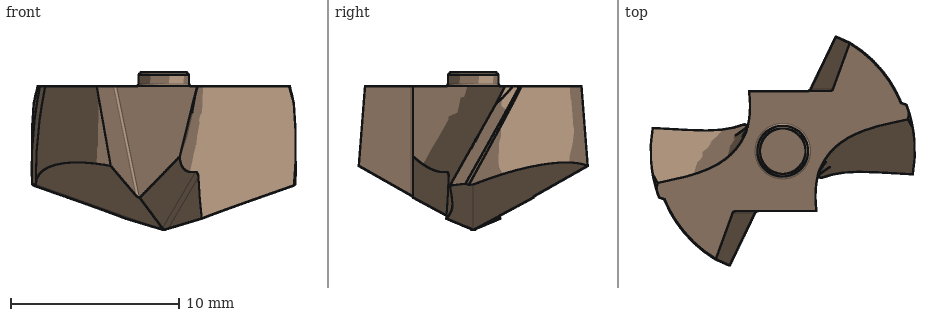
import cadquery as cq
import math

body_height = 8.54
total_height = 9.37
reach = 31.4

margin_radius = 7.85
relief_start_radius = 7.6
relief_middle_radius = 7.55
relief_end_radius = 7.41
twist_rate = 4.127
lip_angle = 14.2
margin_back_angle = 20.5
relief_start_angle = 22.2
flute_exit_angle = -70.0
flute_curve = [(5.05, 1.3), (3.14, 0.25), (2.23, -1.04), (1.96, -2.32), (2.01, -3.56)]

lip_rise = 0.356
heel_rise = 0.395
lip_relief = 0.08

notch_wall_y = -3.56
notch_corner_x = -2.94
notch_run_x = -6.5
notch_run_y = -17.8
notch_lean = 0.205
notch_fillet = 0.19

gash_rise_x = 1.03
gash_rise_y = 0.95
gash_wall_slope = 0.71
gash_fillet = 0.24

trim_lip_x = 7.44
trim_lip_y = 1.92
trim_lean_y = 0.11
trim_lean_z = 0.34

pin_radius = 1.5
pin_chamfer = 0.15
pin_base_fillet = 0.14


def polar(radius, angle):
    turn = math.radians(angle)
    return (radius * math.cos(turn), radius * math.sin(turn))


def opposite(point):
    return (-point[0], -point[1])


def half_space(normal, origin=(0, 0, 0)):
    """Large block on the side of a plane to which the normal points."""
    plane = cq.Plane(origin=origin, normal=normal)
    return cq.Workplane(plane).rect(2 * reach, 2 * reach).extrude(reach)


def cut_both_sides(solid, cutter):
    """Apply a cutter and its half-turn copy about the drill axis."""
    return solid.cut(cutter).cut(cutter.rotate((0, 0, 0), (0, 0, 1), 180))


def twisted_body():
    lip = polar(margin_radius, lip_angle)
    margin_middle = polar(margin_radius, (lip_angle + margin_back_angle) / 2)
    margin_back = polar(margin_radius, margin_back_angle)
    relief_start = polar(relief_start_radius, relief_start_angle)
    flute_exit = polar(relief_end_radius, flute_exit_angle)
    relief_end_angle = flute_exit_angle + 180
    relief_middle = polar(relief_middle_radius, (relief_start_angle + relief_end_angle) / 2)

    outline = cq.Workplane("XY").moveTo(*opposite(flute_exit))
    for place in (tuple, opposite):
        outline = (
            outline.threePointArc(place(relief_middle), place(relief_start))
            .lineTo(*place(margin_back))
            .threePointArc(place(margin_middle), place(lip))
            .spline([place(point) for point in flute_curve], includeCurrent=True)
            .lineTo(*place(flute_exit))
        )
    twist = twist_rate * body_height
    body = outline.close().twistExtrude(body_height, twist)
    return body.rotate((0, 0, 0), (0, 0, 1), -twist)


def point_cutter(rise_x, rise_y):
    """Block below z = rise_x * x + rise_y * y, limited to the -Y half."""
    return half_space((rise_x, rise_y, -1)).intersect(half_space((0, -1, 0)))


def notch_cutter():
    corner_line = cq.Vector(notch_lean, 0, -1)
    top_edge = cq.Vector(notch_run_x, notch_run_y, 0)
    wall_normal = corner_line.cross(top_edge)
    if wall_normal.x < 0:
        wall_normal = -wall_normal
    corner = (notch_corner_x, notch_wall_y, body_height)
    side = half_space(wall_normal.toTuple(), corner)
    notch = side.intersect(half_space((0, -1, 0), corner))
    corner_edges = notch.edges(cq.selectors.ParallelDirSelector(corner_line))
    return corner_edges.edges(cq.selectors.NearestToPointSelector(corner)).fillet(notch_fillet)


def gash_cutter():
    floor = half_space((gash_rise_x, -gash_rise_y, -1))
    wall = half_space((-gash_wall_slope, -1, 0))
    gash = floor.intersect(wall)
    valley = cq.selectors.NearestToPointSelector((0, 0, 0))
    return gash.edges(valley).fillet(gash_fillet)


def margin_trim():
    return half_space((1, -trim_lean_y, trim_lean_z), (trim_lip_x, trim_lip_y, body_height))


def pin():
    """Pin with a chamfered top and a concave fillet where it meets the body."""
    foot_radius = pin_radius + pin_base_fillet
    foot_z = body_height - pin_base_fillet
    shank_z = body_height + pin_base_fillet
    arc_inset = pin_base_fillet * (1 - math.sqrt(0.5))
    return (
        cq.Workplane("XZ")
        .moveTo(0, foot_z)
        .lineTo(foot_radius, foot_z)
        .lineTo(foot_radius, body_height)
        .threePointArc((pin_radius + arc_inset, body_height + arc_inset), (pin_radius, shank_z))
        .lineTo(pin_radius, total_height - pin_chamfer)
        .lineTo(pin_radius - pin_chamfer, total_height)
        .lineTo(0, total_height)
        .close()
        .revolve(360, (0, 0, 0), (0, 1, 0))
    )


result = twisted_body()
result = cut_both_sides(result, notch_cutter())
result = cut_both_sides(result, point_cutter(-lip_rise, -heel_rise))
result = cut_both_sides(result, point_cutter(lip_rise, lip_relief))
result = cut_both_sides(result, gash_cutter())
result = cut_both_sides(result, margin_trim())
result = result.union(pin())